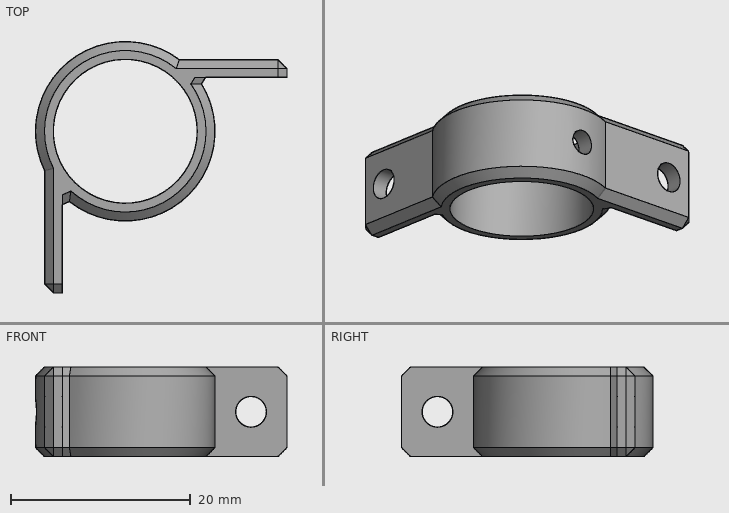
import cadquery as cq
import math

overall = 28.0
ring_outer_diameter = 20.0
bore_diameter = 16.0
height = 10.0
bevel = 1.0
ring_hole_diameter = 2.8
arm_hole_diameter = 3.4
arm_thickness = 2.0
arm_hole_from_tip = 4.0
x_arm_outer_face = 7.98
y_arm_outer_face = -9.0

x_arm_web_length = 8.93
x_arm_web_angle = 238.0
y_arm_web_length = 8.18
y_arm_web_angle = 24.0
web_face_length = 2.02

ring_radius = ring_outer_diameter / 2
arm_tip = overall - ring_radius
arm_hole_place = arm_tip - arm_hole_from_tip
x_arm_inner_face = x_arm_outer_face - arm_thickness
y_arm_inner_face = y_arm_outer_face + arm_thickness
arm_root = bore_diameter / 4


def block(x_low, x_high, y_low, y_high):
    return cq.Workplane("XY").box(x_high - x_low, y_high - y_low, height).translate(
        ((x_low + x_high) / 2, (y_low + y_high) / 2, 0)
    )


def root_web(tip_x, tip_y, angle_degrees, inner_corner):
    """Triangular web whose slanted face is bevelled at the top and bottom."""
    angle = math.radians(angle_degrees)
    ring_end = (
        tip_x + web_face_length * math.cos(angle),
        tip_y + web_face_length * math.sin(angle),
    )
    web = (
        cq.Workplane("XY", origin=(0, 0, -height / 2))
        .polyline([(tip_x, tip_y), ring_end, inner_corner])
        .close()
        .extrude(height)
    )
    face_middle = ((tip_x + ring_end[0]) / 2, (tip_y + ring_end[1]) / 2, 0)
    slanted_face = cq.selectors.NearestToPointSelector(face_middle)
    return web.faces(slanted_face).edges("#Z").chamfer(bevel)


ring = cq.Workplane("XY").circle(ring_radius).extrude(height / 2, both=True)
ring = ring.faces("<Z or >Z").edges().chamfer(bevel)

x_arm = block(arm_root, arm_tip, x_arm_inner_face, x_arm_outer_face)
x_arm = x_arm.edges("(>Y and (>Z or <Z)) or (>X and (>Z or <Z or >Y))").chamfer(bevel)
y_arm = block(y_arm_outer_face, y_arm_inner_face, -arm_tip, -arm_root)
y_arm = y_arm.edges("(<X and (>Z or <Z)) or (<Y and (>Z or <Z or <X))").chamfer(bevel)

x_web = root_web(
    x_arm_web_length, x_arm_inner_face, x_arm_web_angle,
    (arm_root, x_arm_inner_face),
)
y_web = root_web(
    y_arm_inner_face, -y_arm_web_length, y_arm_web_angle,
    (y_arm_inner_face, -arm_root),
)

bore = cq.Workplane("XY").circle(bore_diameter / 2).extrude(height, both=True)
x_arm_hole = (
    cq.Workplane("XZ")
    .center(arm_hole_place, 0)
    .circle(arm_hole_diameter / 2)
    .extrude(overall, both=True)
)
y_arm_hole = (
    cq.Workplane("YZ")
    .center(-arm_hole_place, 0)
    .circle(arm_hole_diameter / 2)
    .extrude(overall, both=True)
)
ring_hole = cq.Workplane("YZ").circle(ring_hole_diameter / 2).extrude(-overall)

result = ring.union(x_arm).union(y_arm).union(x_web).union(y_web)
result = result.cut(bore).cut(x_arm_hole).cut(y_arm_hole).cut(ring_hole)